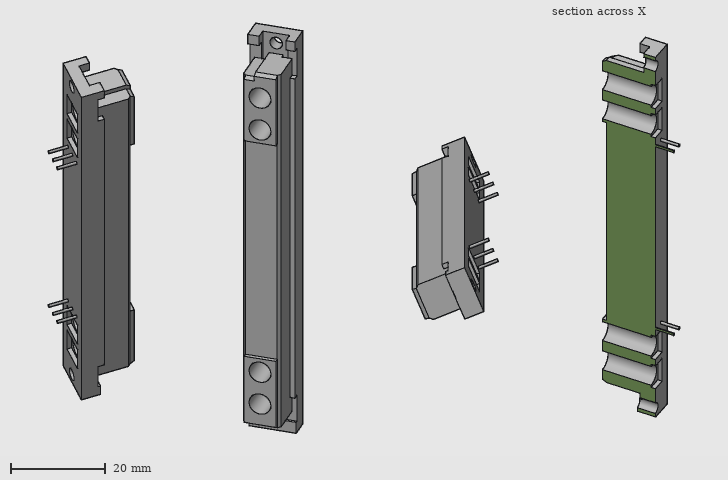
import cadquery as cq
import math

length = 94.9
overall_depth = 17.1
rail_width = 10.5
rail_depth = 5.2
web_depth = 3.8
half_length = length / 2
half_width = rail_width / 2

top_lip_height = 2.3
bottom_lip_height = 2.7
bottom_lip_depth = 4.4
relief_end = 8.9

channel_end = 7.8
channel_width = 6.0
channel_floor = 2.8
channel_x = -0.3

body_width = 8.35
body_back = 11.8
body_end_gap = 4.9
body_chamfer = 0.7
body_half_length = half_length - body_end_gap

foot_width = 3.1
step_x = channel_x + foot_width / 2
step_drop = 1.1
step_level = body_half_length - step_drop

pad_thickness = 0.95
pad_length = 16.5
pad_end_chamfer = 0.6
pad_width = 7.1
pad_back = body_back + pad_thickness

mount_hole_diameter = 2.75
mount_hole_inset = 2.4
lens_hole_diameter = 4.8
window_size = 6.0
window_depth = 1.0
window_insets = (10.5, 18.2)
pin_diameter = 0.7
pin_pitch = 2.5
pin_inset = 23.3
pin_projection = overall_depth - pad_back
pin_embed = 0.95


def block(x_min, x_max, y_min, y_max, z_min, z_max):
    """Axis-aligned box given by its limits."""
    return cq.Workplane("XY").box(
        x_max - x_min, y_max - y_min, z_max - z_min, centered=False
    ).translate((x_min, y_min, z_min))


def rod(diameter, x, z, y_min, y_max):
    """Cylinder along Y."""
    return cq.Workplane("XZ", origin=(x, y_min, z)).circle(diameter / 2).extrude(y_min - y_max)


def make_rail():
    """Rail with end lips, relieved stretches and the upper channel."""
    profile = [
        (0, -half_length),
        (bottom_lip_depth, -half_length),
        (bottom_lip_depth, -half_length + bottom_lip_height),
        (web_depth, -half_length + bottom_lip_height),
        (web_depth, -half_length + relief_end),
        (rail_depth, -half_length + relief_end),
        (rail_depth, half_length - relief_end),
        (web_depth, half_length - relief_end),
        (web_depth, half_length - top_lip_height),
        (rail_depth, half_length - top_lip_height),
        (rail_depth, half_length),
        (0, half_length),
    ]
    rail = cq.Workplane("YZ").polyline(profile).close().extrude(half_width, both=True)
    x_min = channel_x - channel_width / 2
    x_max = channel_x + channel_width / 2
    return rail.cut(block(x_min, x_max, channel_floor, rail_depth,
                          half_length - channel_end, half_length))


def make_body_slice(x_min, x_max, z_min, z_max):
    """Stretch of the body with a pad at each end, limited to a range of X."""
    half_body = body_width / 2
    section = [
        (-half_body, web_depth),
        (half_body, web_depth),
        (half_body, body_back - body_chamfer),
        (half_body - body_chamfer, body_back),
        (-half_body + body_chamfer, body_back),
        (-half_body, body_back - body_chamfer),
    ]
    core = (cq.Workplane("XY", origin=(0, 0, z_min))
            .polyline(section).close().extrude(z_max - z_min))
    inner_top = body_half_length - pad_length
    core = core.union(make_pad(z_max, inner_top)).union(make_pad(z_min, -inner_top))
    return core.intersect(block(x_min, x_max, 0, pad_back, z_min, z_max))


def make_pad(z_outer, z_inner):
    """Raised pad whose outer end is chamfered."""
    toward_middle = math.copysign(pad_end_chamfer, z_inner - z_outer)
    profile = [
        (body_back - body_chamfer, z_outer),
        (body_back, z_outer),
        (pad_back, z_outer + toward_middle),
        (pad_back, z_inner),
        (body_back - body_chamfer, z_inner),
    ]
    return cq.Workplane("YZ").polyline(profile).close().extrude(pad_width / 2, both=True)


def make_body():
    """Body with its upper end stepped down on the +X side, and the foot in the channel."""
    half_body = body_width / 2
    tall_side = make_body_slice(-half_body, step_x, -body_half_length, body_half_length)
    short_side = make_body_slice(step_x, half_body, -body_half_length, step_level)
    foot = block(step_x - foot_width, step_x, channel_floor, web_depth,
                 half_length - channel_end, body_half_length)
    return tall_side.union(short_side).union(foot)


def make_window(z):
    """Cutter for a lens hole through the part with a square recess in the mounting face."""
    half_window = window_size / 2
    recess = block(-half_window, half_window, 0, window_depth, z - half_window, z + half_window)
    return recess.union(rod(lens_hole_diameter, 0, z, 0, pad_back))


result = make_rail().union(make_body())
for end in (1, -1):
    mount_z = end * (half_length - mount_hole_inset)
    result = result.cut(rod(mount_hole_diameter, channel_x, mount_z, 0, rail_depth))
    for inset in window_insets:
        result = result.cut(make_window(end * (half_length - inset)))
    pin_z = end * (half_length - pin_inset)
    for column in (-1, 0, 1):
        result = result.union(rod(pin_diameter, column * pin_pitch, pin_z, -pin_projection, pin_embed))